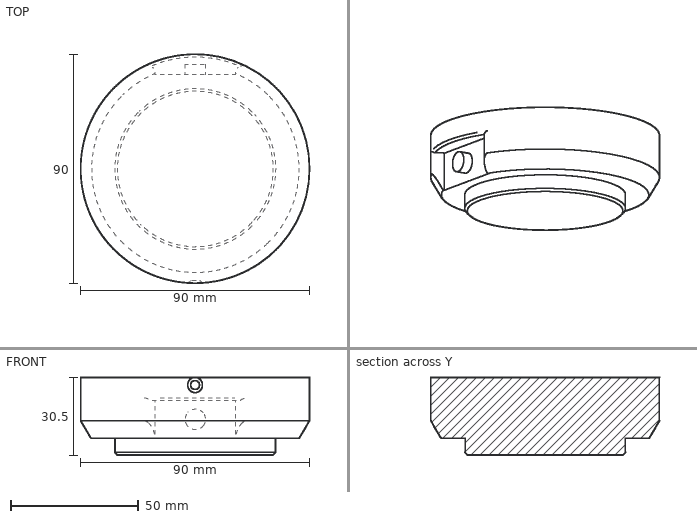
import cadquery as cq
import math

total_height = 30.5
head_radius = 45.0
base_radius = 31.6
base_height = 6.5
base_chamfer = 1.0
lip_chamfer = 0.5
taper_height = 6.5
taper_angle = 30.0
straight_height = 17.0

dimple_diameter = 6.0
dimple_floor_diameter = 3.5
dimple_floor_depth = (dimple_diameter - dimple_floor_diameter) / 2
dimple_z = total_height - dimple_diameter / 2

rim_thickness = 9.0
rim_chamfer = 1.0
notch_width = 31.5
notch_mouth_radius = 3.0
notch_floor_y = 37.0

button_diameter = 8.0
button_face_y = 41.0
button_depth_below_top = 16.4
button_z = total_height - button_depth_below_top

rim_underside_z = total_height - rim_thickness
taper_top_z = total_height - straight_height
taper_bottom_z = taper_top_z - taper_height
taper_bottom_radius = head_radius - taper_height * math.tan(math.radians(taper_angle))


def turned_body():
    """Revolve the stepped, tapered profile about Z."""
    profile = [
        (0, 0),
        (base_radius - base_chamfer, 0),
        (base_radius, base_chamfer),
        (base_radius, base_height),
        (taper_bottom_radius - lip_chamfer, base_height),
        (taper_bottom_radius, taper_bottom_z),
        (head_radius, taper_top_z),
        (head_radius, total_height),
        (0, total_height),
    ]
    return cq.Workplane("XZ").polyline(profile).close().revolve(360, (0, 0), (0, 1))


def notch_prism(bottom_z, top_z):
    """Notch outline in plan, extruded from bottom_z to top_z."""
    half_notch = notch_width / 2
    arc_centre_x = half_notch + notch_mouth_radius
    tangent_angle = math.acos(arc_centre_x / (head_radius - notch_mouth_radius))
    arc_centre_y = (head_radius - notch_mouth_radius) * math.sin(tangent_angle)
    tangent_x = head_radius * math.cos(tangent_angle)
    tangent_y = head_radius * math.sin(tangent_angle)
    mid_angle = (tangent_angle + math.pi) / 2
    arc_mid_x = arc_centre_x + notch_mouth_radius * math.cos(mid_angle)
    arc_mid_y = arc_centre_y + notch_mouth_radius * math.sin(mid_angle)
    return (
        cq.Workplane("XY", origin=(0, 0, bottom_z))
        .moveTo(tangent_x, head_radius)
        .lineTo(tangent_x, tangent_y)
        .threePointArc((arc_mid_x, arc_mid_y), (half_notch, arc_centre_y))
        .lineTo(half_notch, notch_floor_y)
        .lineTo(-half_notch, notch_floor_y)
        .lineTo(-half_notch, arc_centre_y)
        .threePointArc((-arc_mid_x, arc_mid_y), (-tangent_x, tangent_y))
        .lineTo(-tangent_x, head_radius)
        .close()
        .extrude(top_z - bottom_z)
    )


def rim_bevel():
    """Bevel on the lower outer edge of the rim, along the width of the notch."""
    profile = [
        (head_radius, rim_underside_z),
        (head_radius, rim_underside_z + rim_chamfer),
        (head_radius - rim_chamfer, rim_underside_z),
    ]
    ring = cq.Workplane("XZ").polyline(profile).close().revolve(360, (0, 0), (0, 1))
    return ring.intersect(notch_prism(rim_underside_z, total_height))


def button():
    """Cylinder along +Y, rooted in the solid behind the notch floor."""
    button_length = button_face_y - base_radius
    return (
        cq.Workplane("XZ", origin=(0, button_face_y, button_z))
        .circle(button_diameter / 2)
        .extrude(button_length)
    )


def dimple():
    """Cone frustum sunk into the -Y side, with a flat floor."""
    profile = [
        (0, -head_radius),
        (dimple_diameter / 2, -head_radius),
        (dimple_floor_diameter / 2, dimple_floor_depth - head_radius),
        (0, dimple_floor_depth - head_radius),
    ]
    cone = cq.Workplane("XY").polyline(profile).close().revolve(360, (0, 0), (0, 1))
    return cone.translate((0, 0, dimple_z))


result = (
    turned_body()
    .cut(notch_prism(base_height, rim_underside_z))
    .cut(rim_bevel())
    .union(button())
    .cut(dimple())
)